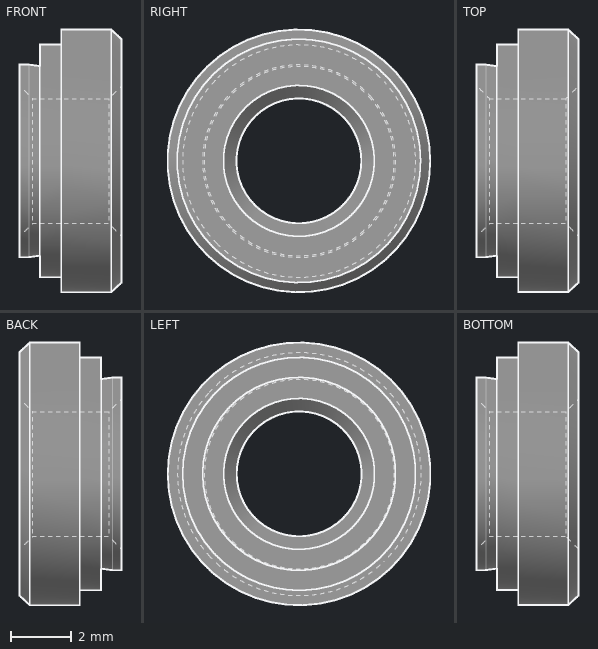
import cadquery as cq

length = 3.38
flange_radius = 4.35
step_radius = 3.85
neck_radius = 3.19
neck_root_radius = 3.14
bore_radius = 2.06

neck_land_end = 0.305
step_start = 0.68
flange_start = 1.38
rim_chamfer_length = 0.35
rim_chamfer_depth = 0.32
bore_chamfer = 0.435

half_section = (
    cq.Workplane("XY")
    .moveTo(0, bore_radius + bore_chamfer)
    .lineTo(0, neck_radius)
    .lineTo(neck_land_end, neck_radius)
    .lineTo(step_start, neck_root_radius)
    .lineTo(step_start, step_radius)
    .lineTo(flange_start, step_radius)
    .lineTo(flange_start, flange_radius)
    .lineTo(length - rim_chamfer_length, flange_radius)
    .lineTo(length, flange_radius - rim_chamfer_depth)
    .lineTo(length, bore_radius + bore_chamfer)
    .lineTo(length - bore_chamfer, bore_radius)
    .lineTo(bore_chamfer, bore_radius)
    .close()
)

result = half_section.revolve(360, (0, 0, 0), (1, 0, 0))